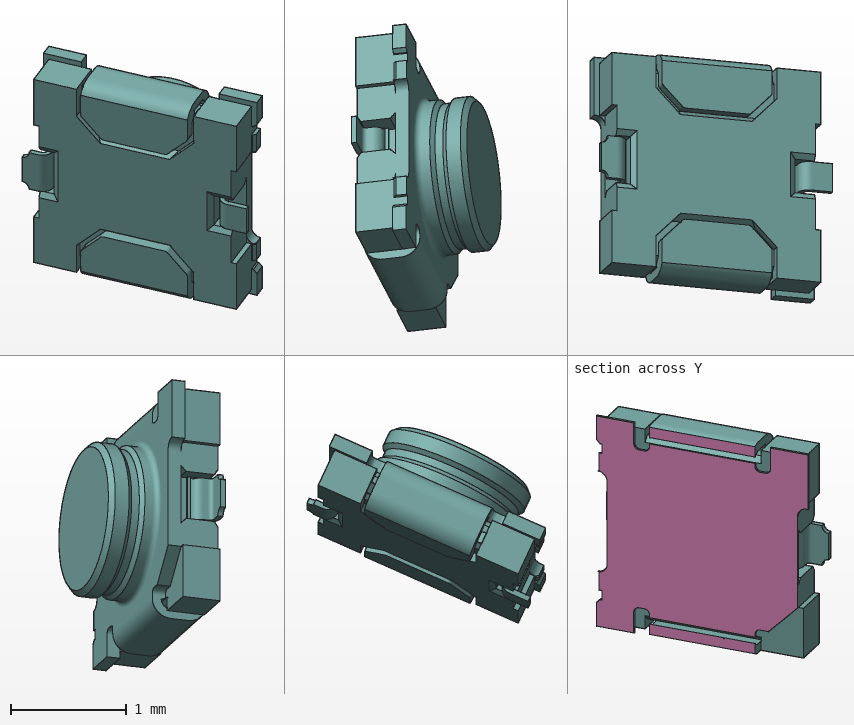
import cadquery as cq
import math

HALF_LENGTH = 1.05
HALF_PLATE = 1.0
HALF_BODY = 0.95
HALF_WAIST = 0.9
WAIST_HEIGHT = 0.477

PLATE_REAR = 0.0
PLATE_FRONT = -0.12
BODY_FRONT = -0.46
FOOT_FRONT = -0.475
PAD_FRONT = -0.48

BUTTON_RADIUS = 0.672
BUTTON_HEIGHT = 0.45
BUTTON_CHAMFER = 0.046
GROOVE_DEPTH = 0.038
GROOVE_START = 0.13
GROOVE_END = 0.275
BUTTON_FILLET = 0.05

STRAP_HALF_WIDTH = 0.5
STRAP_BEND_RADIUS = 0.168
STRAP_FRONT_RADIUS = 0.178
STRAP_THICKNESS = 0.085
STRAP_FLAT_START = PLATE_REAR - STRAP_BEND_RADIUS
STRAP_FLAT_END = -0.328
PAD_END = 0.502
PAD_CORNER_CUT = 0.197
PAD_CORNER_RADIUS = 0.042
RECESS_HALF_WIDTH = 0.548
RECESS_END = 0.445
RECESS_HALF_END = 0.323
RECESS_CORNER_CUT = RECESS_HALF_WIDTH - RECESS_HALF_END
RECESS_FLOOR = -0.38
RECESS_END_SLOPE = 0.055
CORE_TOP = 0.874
CORE_CHAMFER = 0.05
GUSSET_HEIGHT = 0.04
GUSSET_FRONT = -0.334
GUSSET_REAR = -0.233

TAB_START = 0.645
NOTCH_FLOOR = 0.752
RELIEF_RADIUS = 0.048
WAIST_FILLET = 0.085
SPLIT_TAB_EDGE = 0.74
SPLIT_TAB_CHAMFER = 0.034
LUG_TIP = 0.983
LUG_END = 0.653
LUG_CHAMFER = 0.025

POCKET_FLARE = 0.05
POCKET_FLARE_DEPTH = 0.034
POCKET_REAR_FLARE = 0.046
REAR_STEP_START = -0.225
REAR_STEP = 0.03
FOOT_THICKNESS = 0.048
FOOT_INNER_RADIUS = 0.038
FOOT_OUTER_RADIUS = FOOT_INNER_RADIUS + FOOT_THICKNESS
FOOT_HEEL_RADIUS = 0.099
FOOT_TOP = -0.255
FOOT_ROOT_LENGTH = 0.085
LEFT_POCKET_HALF = 0.215
LEFT_POCKET_WALL = 0.77
LEFT_FOOT_HALF = 0.19
LEFT_FOOT_BEND = 0.765
LEFT_TIP_NOTCH = 0.063
RIGHT_POCKET_HALF = 0.151
RIGHT_POCKET_WALL = 0.725
RIGHT_FOOT_BEND = 0.73
RIGHT_FOOT_HALF = 0.128
ROOT_STRAIGHT = 0.008

BEYOND = 1.26


def block(x0, x1, y0, y1, z0, z1):
    return cq.Workplane("XY").box(x1 - x0, y1 - y0, z1 - z0, centered=False).translate((x0, y0, z0))


def prism_y(points, y_front, y_rear):
    """Outline of (x, z) points extruded from y_rear to y_front."""
    return cq.Workplane("XZ", origin=(0, y_rear, 0)).polyline(points).close().extrude(y_rear - y_front)


def prism_x(points, half_width):
    """Outline of (y, z) points extruded equally to both sides of x = 0."""
    return cq.Workplane("YZ").polyline(points).close().extrude(half_width, both=True)


def mirrored_z(shape):
    return shape.union(shape.mirror("XY"))


def plate_fillet(x, z, x_side, z_side, radius):
    """Concave fillet in the plate at corner (x, z), filling towards the given sides."""
    centre_x = x + x_side * radius
    centre_z = z + z_side * radius
    arc_reach = radius * (1 - math.sqrt(0.5))
    return (
        cq.Workplane("XZ", origin=(0, PLATE_REAR, 0))
        .moveTo(x, z)
        .lineTo(centre_x, z)
        .threePointArc((x + x_side * arc_reach, z + z_side * arc_reach), (x, centre_z))
        .close()
        .extrude(PLATE_REAR - PLATE_FRONT)
    )


def make_button():
    groove_radius = BUTTON_RADIUS - GROOVE_DEPTH
    foot_radius = BUTTON_RADIUS + BUTTON_FILLET
    fillet_middle = BUTTON_FILLET * (1 - math.sqrt(0.5))
    return (
        cq.Workplane("XY")
        .moveTo(0, PLATE_FRONT)
        .lineTo(foot_radius, PLATE_FRONT)
        .lineTo(foot_radius, PLATE_REAR)
        .threePointArc((BUTTON_RADIUS + fillet_middle, fillet_middle), (BUTTON_RADIUS, BUTTON_FILLET))
        .lineTo(BUTTON_RADIUS, GROOVE_START)
        .lineTo(groove_radius, GROOVE_START + GROOVE_DEPTH)
        .lineTo(groove_radius, GROOVE_END - GROOVE_DEPTH)
        .lineTo(BUTTON_RADIUS, GROOVE_END)
        .lineTo(BUTTON_RADIUS, BUTTON_HEIGHT - BUTTON_CHAMFER)
        .lineTo(BUTTON_RADIUS - BUTTON_CHAMFER, BUTTON_HEIGHT)
        .lineTo(0, BUTTON_HEIGHT)
        .close()
        .revolve(360, (0, 0, 0), (0, 1, 0))
    )


def make_plate():
    plate = block(-HALF_WAIST, HALF_WAIST, PLATE_FRONT, PLATE_REAR, -NOTCH_FLOOR, NOTCH_FLOOR)

    plate = plate.union(
        block(-HALF_PLATE, -TAB_START, PLATE_FRONT, PLATE_REAR, WAIST_HEIGHT, HALF_PLATE)
    )
    plate = plate.union(plate_fillet(-HALF_WAIST, WAIST_HEIGHT, -1, -1, WAIST_FILLET))

    tab = prism_y(
        [
            (TAB_START, HALF_PLATE),
            (HALF_PLATE, HALF_PLATE),
            (HALF_PLATE, SPLIT_TAB_EDGE + SPLIT_TAB_CHAMFER),
            (HALF_PLATE - SPLIT_TAB_CHAMFER, SPLIT_TAB_EDGE),
            (HALF_BODY, SPLIT_TAB_EDGE),
            (HALF_BODY, WAIST_HEIGHT),
            (TAB_START, WAIST_HEIGHT),
        ],
        PLATE_FRONT,
        PLATE_REAR,
    )
    lug = block(HALF_WAIST, LUG_TIP, PLATE_FRONT, PLATE_REAR, WAIST_HEIGHT, LUG_END)
    lug = lug.faces("<Y").edges(">X").chamfer(LUG_CHAMFER)
    waist_fillet = plate_fillet(HALF_WAIST, WAIST_HEIGHT, 1, -1, WAIST_FILLET)
    plate = plate.union(mirrored_z(tab.union(lug).union(waist_fillet)))

    diagonal = NOTCH_FLOOR - WAIST_HEIGHT
    plate = plate.cut(
        prism_y(
            [
                (-HALF_WAIST, -WAIST_HEIGHT),
                (-HALF_WAIST, -NOTCH_FLOOR),
                (-HALF_WAIST + diagonal, -NOTCH_FLOOR),
            ],
            PLATE_FRONT,
            PLATE_REAR,
        )
    )

    for x_side in (-1, 1):
        for z_side in (-1, 1):
            floor = z_side * NOTCH_FLOOR
            plate = plate.union(
                plate_fillet(x_side * STRAP_HALF_WIDTH, floor, x_side, z_side, RELIEF_RADIUS)
            )
            if (x_side, z_side) != (-1, -1):
                plate = plate.union(plate_fillet(x_side * TAB_START, floor, -x_side, z_side, RELIEF_RADIUS))
    return plate


def make_strap_recess():
    """Tool that clears the body around the +Z strap, leaving the core."""
    section = prism_x(
        [
            (BODY_FRONT, RECESS_END),
            (RECESS_FLOOR, RECESS_END + RECESS_END_SLOPE),
            (RECESS_FLOOR, CORE_TOP - CORE_CHAMFER),
            (RECESS_FLOOR + CORE_CHAMFER, CORE_TOP),
            (PLATE_FRONT - CORE_CHAMFER, CORE_TOP),
            (PLATE_FRONT, CORE_TOP - CORE_CHAMFER),
            (PLATE_FRONT, BEYOND),
            (BODY_FRONT, BEYOND),
        ],
        RECESS_HALF_WIDTH,
    )
    outline = prism_y(
        [
            (-RECESS_HALF_WIDTH, BEYOND),
            (-RECESS_HALF_WIDTH, RECESS_END + RECESS_CORNER_CUT),
            (-RECESS_HALF_END, RECESS_END),
            (RECESS_HALF_END, RECESS_END),
            (RECESS_HALF_WIDTH, RECESS_END + RECESS_CORNER_CUT),
            (RECESS_HALF_WIDTH, BEYOND),
        ],
        BODY_FRONT,
        PLATE_FRONT,
    )
    return section.intersect(outline)


def make_gusset(side):
    """Small triangular web between the core and a corner block beside the +Z strap."""
    return prism_y(
        [
            (side * STRAP_HALF_WIDTH, CORE_TOP),
            (side * RECESS_HALF_WIDTH, CORE_TOP),
            (side * RECESS_HALF_WIDTH, CORE_TOP + GUSSET_HEIGHT),
        ],
        GUSSET_FRONT,
        GUSSET_REAR,
    )


def make_strap():
    """The +Z strap, with a narrow gap over the core and a solder pad on the mounting face."""
    bend_middle = STRAP_BEND_RADIUS * (1 - math.sqrt(0.5))
    front_reach = STRAP_FLAT_END - PAD_FRONT
    half_angle = math.asin(front_reach / STRAP_FRONT_RADIUS) / 2
    front_middle = (
        STRAP_FLAT_END - STRAP_FRONT_RADIUS * math.sin(half_angle),
        HALF_PLATE - STRAP_FRONT_RADIUS * (1 - math.cos(half_angle)),
    )
    front_end = (PAD_FRONT, HALF_PLATE - STRAP_FRONT_RADIUS * (1 - math.cos(2 * half_angle)))
    section = (
        cq.Workplane("YZ")
        .moveTo(PLATE_REAR, PAD_END)
        .lineTo(PLATE_REAR, HALF_PLATE - STRAP_BEND_RADIUS)
        .threePointArc((-bend_middle, HALF_PLATE - bend_middle), (STRAP_FLAT_START, HALF_PLATE))
        .lineTo(STRAP_FLAT_END, HALF_PLATE)
        .threePointArc(front_middle, front_end)
        .lineTo(PAD_FRONT, PAD_END)
        .close()
        .extrude(STRAP_HALF_WIDTH, both=True)
    )
    outline = prism_y(
        [
            (-STRAP_HALF_WIDTH, BEYOND),
            (-STRAP_HALF_WIDTH, PAD_END + PAD_CORNER_CUT),
            (PAD_CORNER_CUT - STRAP_HALF_WIDTH, PAD_END),
            (STRAP_HALF_WIDTH - PAD_CORNER_CUT, PAD_END),
            (STRAP_HALF_WIDTH, PAD_END + PAD_CORNER_CUT),
            (STRAP_HALF_WIDTH, BEYOND),
        ],
        PAD_FRONT,
        PLATE_REAR,
    )
    pad_corners = cq.selectors.BoxSelector((-BEYOND, -BEYOND, 0), (BEYOND, BEYOND, HALF_BODY))
    outline = outline.edges("|Y").edges(pad_corners).fillet(PAD_CORNER_RADIUS)

    inner_radius = STRAP_BEND_RADIUS - STRAP_THICKNESS
    inner_top = HALF_PLATE - STRAP_THICKNESS
    gap = (
        cq.Workplane("YZ")
        .moveTo(-STRAP_THICKNESS, HALF_PLATE - STRAP_BEND_RADIUS)
        .radiusArc((STRAP_FLAT_START, inner_top), -inner_radius)
        .lineTo(STRAP_FLAT_END, inner_top)
        .lineTo(STRAP_FLAT_END, CORE_TOP)
        .lineTo(PLATE_FRONT - CORE_CHAMFER, CORE_TOP)
        .lineTo(PLATE_FRONT, CORE_TOP - CORE_CHAMFER)
        .close()
        .extrude(STRAP_HALF_WIDTH, both=True)
    )
    return section.intersect(outline).cut(gap)


def make_pocket(half_height, wall):
    """Tool for a side pocket that opens to +X and to the mounting face."""
    flare_start = BODY_FRONT + POCKET_FLARE_DEPTH
    rear_half = half_height + POCKET_REAR_FLARE
    rear_flare_start = PLATE_FRONT - POCKET_REAR_FLARE
    pocket = block(wall, BEYOND, BODY_FRONT, PLATE_FRONT, -half_height, half_height)

    rear_wall = wall - REAR_STEP
    rear = block(rear_wall, BEYOND, REAR_STEP_START, PLATE_FRONT, -half_height, half_height)
    rear_flare = prism_x(
        [
            (rear_flare_start, -half_height),
            (rear_flare_start, half_height),
            (PLATE_FRONT, rear_half),
            (PLATE_FRONT, -rear_half),
        ],
        BEYOND,
    ).intersect(block(rear_wall, BEYOND, BODY_FRONT, PLATE_FRONT, -BEYOND, BEYOND))

    front_half = half_height + POCKET_FLARE
    front_flare = (
        cq.Workplane("XZ", origin=(0, flare_start, 0))
        .polyline([(wall, -half_height), (BEYOND, -half_height), (BEYOND, half_height), (wall, half_height)])
        .close()
        .workplane(offset=POCKET_FLARE_DEPTH)
        .polyline(
            [
                (wall - POCKET_FLARE, -front_half),
                (BEYOND, -front_half),
                (BEYOND, front_half),
                (wall - POCKET_FLARE, front_half),
            ]
        )
        .close()
        .loft(ruled=True)
    )
    return pocket.union(rear).union(rear_flare).union(front_flare)


def make_foot(half_width, pocket_half, bend):
    """S-bent foot that leaves the pocket towards +X, bends at x = bend and lies on the mounting face."""
    upright = bend + FOOT_INNER_RADIUS
    sheet = (
        cq.Workplane("XY", origin=(0, 0, -pocket_half))
        .moveTo(bend - FOOT_ROOT_LENGTH, FOOT_TOP)
        .lineTo(bend, FOOT_TOP)
        .radiusArc((bend + FOOT_OUTER_RADIUS, FOOT_TOP - FOOT_OUTER_RADIUS), FOOT_OUTER_RADIUS)
        .lineTo(upright + FOOT_THICKNESS, FOOT_FRONT + FOOT_OUTER_RADIUS)
        .radiusArc((upright + FOOT_OUTER_RADIUS, FOOT_FRONT + FOOT_THICKNESS), -FOOT_INNER_RADIUS)
        .lineTo(HALF_LENGTH, FOOT_FRONT + FOOT_THICKNESS)
        .lineTo(HALF_LENGTH, FOOT_FRONT)
        .lineTo(upright + FOOT_HEEL_RADIUS, FOOT_FRONT)
        .radiusArc((upright, FOOT_FRONT + FOOT_HEEL_RADIUS), FOOT_HEEL_RADIUS)
        .lineTo(upright, FOOT_TOP - FOOT_OUTER_RADIUS)
        .radiusArc((bend, FOOT_TOP - FOOT_THICKNESS), -FOOT_INNER_RADIUS)
        .lineTo(bend - FOOT_ROOT_LENGTH, FOOT_TOP - FOOT_THICKNESS)
        .close()
        .extrude(2 * pocket_half)
    )
    root_end = bend + ROOT_STRAIGHT
    taper_end = root_end + pocket_half - half_width
    outline = prism_y(
        [
            (bend - FOOT_ROOT_LENGTH, -pocket_half),
            (root_end, -pocket_half),
            (taper_end, -half_width),
            (HALF_LENGTH, -half_width),
            (HALF_LENGTH, half_width),
            (taper_end, half_width),
            (root_end, pocket_half),
            (bend - FOOT_ROOT_LENGTH, pocket_half),
        ],
        FOOT_FRONT,
        FOOT_TOP,
    )
    return sheet.intersect(outline)


def make_body():
    body = block(-HALF_BODY, HALF_BODY, BODY_FRONT, PLATE_FRONT, -HALF_BODY, HALF_BODY)
    for side in (-1, 1):
        waist_x = sorted((side * HALF_WAIST, side * BEYOND))
        body = body.cut(block(*waist_x, BODY_FRONT, PLATE_FRONT, -WAIST_HEIGHT, WAIST_HEIGHT))
    body = body.cut(mirrored_z(make_strap_recess()))
    body = body.cut(make_pocket(RIGHT_POCKET_HALF, RIGHT_POCKET_WALL))
    body = body.cut(make_pocket(LEFT_POCKET_HALF, LEFT_POCKET_WALL).mirror("YZ"))
    return body


right_foot = make_foot(RIGHT_FOOT_HALF, RIGHT_POCKET_HALF, RIGHT_FOOT_BEND)
left_foot = make_foot(LEFT_FOOT_HALF, LEFT_POCKET_HALF, LEFT_FOOT_BEND).mirror("YZ")
tip_notches = (
    cq.Workplane("XZ", origin=(0, PLATE_FRONT, 0))
    .pushPoints([(-HALF_LENGTH, -LEFT_FOOT_HALF), (-HALF_LENGTH, LEFT_FOOT_HALF)])
    .circle(LEFT_TIP_NOTCH)
    .extrude(BEYOND)
)
left_foot = left_foot.cut(tip_notches)

straps = mirrored_z(make_strap().union(make_gusset(-1)).union(make_gusset(1)))
result = make_body().union(make_plate()).union(make_button()).union(straps)
result = result.union(left_foot).union(right_foot)